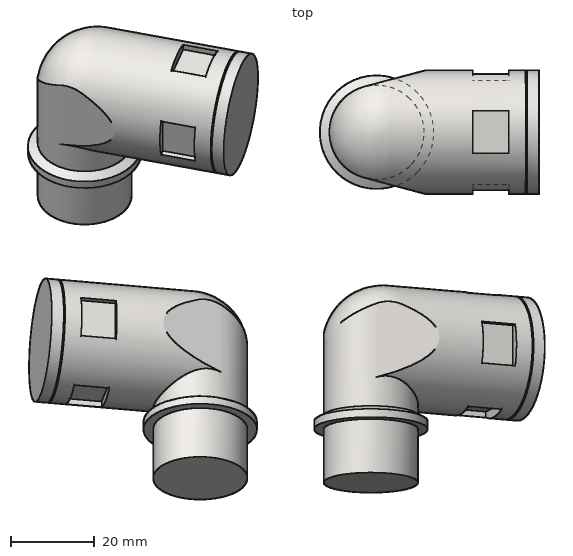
import cadquery as cq
import math

overall_length = 52.25
overall_height = 48.0

clearance = 2.6

spigot_radius = 11.25
collar_radius = 13.55
collar_bottom = 13.0
collar_rim_top = 15.0
collar_top = 16.25

socket_diameter = 29.5
socket_radius = socket_diameter / 2
socket_axis_height = overall_height - socket_radius
socket_end = overall_length - collar_radius
dome_radius = 14.25

cheek_angle = math.radians(15)

recess_start = 22.95
recess_length = 8.5
recess_width = 10.15
recess_floor_radius = 12.4

groove_start = 35.5
groove_width = 0.35
groove_depth = 3.1


def socket_cylinder(start, length, radius):
    plane = cq.Workplane("YZ", origin=(start, 0, socket_axis_height))
    return plane.circle(radius).extrude(length)


def make_column():
    """Spigot with a bevelled collar, revolved about the Z axis up to the top of the elbow."""
    column_top = socket_axis_height + socket_radius + clearance
    return (
        cq.Workplane("XZ")
        .lineTo(spigot_radius, 0)
        .lineTo(spigot_radius, collar_bottom)
        .lineTo(collar_radius, collar_bottom)
        .lineTo(collar_radius, collar_rim_top)
        .lineTo(spigot_radius, collar_top)
        .lineTo(spigot_radius, column_top)
        .lineTo(0, column_top)
        .close()
        .revolve(360, (0, 0, 0), (0, 1, 0))
    )


def make_socket():
    """Socket cylinder from the cheek tangent lines outwards, trimmed by the flaring cheeks."""
    tangent_x = -spigot_radius * math.sin(cheek_angle)
    tangent_y = spigot_radius * math.cos(cheek_angle)
    end_y = tangent_y + (socket_end - tangent_x) * math.tan(cheek_angle)
    cheeks = (
        cq.Workplane("XY")
        .moveTo(tangent_x, -tangent_y)
        .lineTo(tangent_x, tangent_y)
        .lineTo(socket_end, end_y)
        .lineTo(socket_end, -end_y)
        .close()
        .extrude(socket_axis_height + socket_radius + clearance)
    )
    return socket_cylinder(tangent_x, socket_end - tangent_x, socket_radius).intersect(cheeks)


def make_top_waste():
    """Material above the socket axis that lies outside the domed back and the socket."""
    dome_end = dome_radius - spigot_radius
    arc_centre_height = socket_radius - dome_radius
    arc_step = dome_radius * math.sqrt(0.5)
    kept = (
        cq.Workplane("XY", origin=(0, 0, socket_axis_height))
        .moveTo(-spigot_radius, 0)
        .lineTo(-spigot_radius, arc_centre_height)
        .threePointArc((dome_end - arc_step, arc_centre_height + arc_step), (dome_end, socket_radius))
        .lineTo(socket_end, socket_radius)
        .lineTo(socket_end, 0)
        .close()
        .revolve(360, (0, 0, 0), (1, 0, 0))
    )
    block_size = 2 * (socket_radius + clearance)
    block = cq.Workplane("XY").box(block_size, block_size, block_size, centered=(True, True, False))
    return block.translate((0, 0, socket_axis_height)).cut(kept)


def make_groove():
    outer = socket_cylinder(groove_start, groove_width, socket_radius + groove_depth)
    core = socket_cylinder(groove_start, groove_width, socket_radius - groove_depth)
    return outer.cut(core)


def make_recess(angle):
    """Flat-floored pocket cutter, turned by an angle in degrees about the socket axis."""
    cutter = cq.Workplane("XY").box(
        recess_length, recess_width, socket_radius, centered=(False, True, False)
    )
    raised = cutter.translate((recess_start, 0, recess_floor_radius))
    turned = raised.rotate((0, 0, 0), (1, 0, 0), angle)
    return turned.translate((0, 0, socket_axis_height))


result = make_column().union(make_socket()).cut(make_top_waste()).cut(make_groove())
for quarter in range(4):
    result = result.cut(make_recess(90 * quarter))